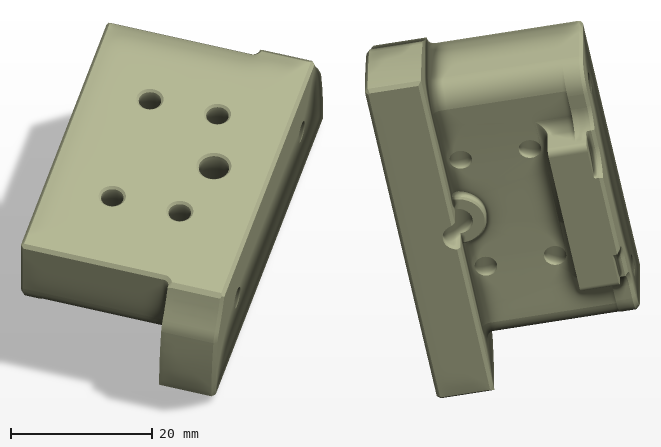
import cadquery as cq
import math

length = 30.4
overall_width = 55.05
overall_height = 17.85

chamfer = 0.5
blend_radius = 1.0

block_half_width = 22.0
corner_center_z = -9.15
front_corner_radius = 3.85
rear_corner_radius = 3.45
underside_slope = math.radians(5)

flange_start = 22.2
flange_height = 17.3
flange_top_half_width = 23.0
hollow_mid_half_width = 24.3
hollow_mid_z = -2.7
shoulder_z = -5.5
shoulder_radius = 4.0
flank_radius = 50.1
flank_straight = 0.7

front_plate_depth = 2.85
lip_depth = 6.8
lip_half_width = 12.55
lip_blend_radius = 1.5
front_sweep_radius = 3.25

recess_depth = 1.2
recess_radius = 3.0
recess_half_gap = 6.8
recess_top_z = -14.7
recess_floor_radius = 0.3

hole_chamfer = 0.35
screw_diameter = 3.2
screw_x = (9.95, 19.9)
screw_y = 9.45
center_hole_diameter = 4.3
center_hole_x = flange_start
cross_hole_diameter = 3.2
cross_hole_y = 16.2
cross_hole_z = -7.85

boss_diameter = 8.2
boss_bottom_z = -13.35
boss_chamfer = 0.3

margin = 0.05


def section(x):
    """Sketch plane across the part at the given X, with local axes Y and Z."""
    return cq.Workplane("YZ", origin=(x, 0, 0))


def mirrored(half):
    """Join a solid drawn on the +Y side with its mirror image."""
    return half.union(half.mirror("XZ"))


def make_front_plate():
    """Front slab whose outline sweeps down into the lip."""
    corner_y = block_half_width - front_corner_radius
    bottom_z = corner_center_z - front_corner_radius
    sweep_start_y = lip_half_width + front_sweep_radius
    sweep_end_z = bottom_z - front_sweep_radius
    sweep_offset = front_sweep_radius * math.sqrt(0.5)
    half = (
        section(0)
        .lineTo(block_half_width, 0)
        .lineTo(block_half_width, corner_center_z)
        .radiusArc((corner_y, bottom_z), front_corner_radius)
        .lineTo(sweep_start_y, bottom_z)
        .threePointArc(
            (sweep_start_y - sweep_offset, sweep_end_z + sweep_offset),
            (lip_half_width, sweep_end_z),
        )
        .lineTo(lip_half_width, blend_radius - overall_height)
        .radiusArc((lip_half_width - blend_radius, -overall_height), blend_radius)
        .lineTo(0, -overall_height)
        .close()
        .extrude(front_plate_depth)
    )
    return mirrored(half).faces("<X").edges().chamfer(chamfer)


def make_rear_block():
    """Block behind the front plate, with a shallow arched underside, reaching into the flange."""
    corner_y = block_half_width - rear_corner_radius
    arch_half_span = corner_y + rear_corner_radius * math.sin(underside_slope)
    arch_foot_z = corner_center_z - rear_corner_radius * math.cos(underside_slope)
    arch_rise = arch_half_span * math.tan(underside_slope / 2)
    return (
        section(front_plate_depth)
        .moveTo(-block_half_width, 0)
        .lineTo(block_half_width, 0)
        .lineTo(block_half_width, corner_center_z)
        .radiusArc((arch_half_span, arch_foot_z), rear_corner_radius)
        .threePointArc((0, arch_foot_z + arch_rise), (-arch_half_span, arch_foot_z))
        .radiusArc((-block_half_width, corner_center_z), rear_corner_radius)
        .close()
        .extrude(flange_start + blend_radius - front_plate_depth)
    )


def make_rear_lip():
    """Part of the lip behind the front plate, running up through the block to the top."""
    return (
        section(front_plate_depth)
        .center(0, -overall_height / 2)
        .rect(2 * lip_half_width, overall_height)
        .extrude(lip_depth - front_plate_depth)
        .edges("|X and <Z")
        .fillet(blend_radius)
    )


def make_rear():
    """Rear block and lip, with the inner corners where they meet rounded."""
    root_edges = cq.selectors.BoxSelector(
        (front_plate_depth - margin, -lip_half_width - margin, recess_top_z),
        (lip_depth + margin, lip_half_width + margin, corner_center_z - margin),
        boundingbox=True,
    )
    rear = make_rear_block().union(make_rear_lip())
    return rear.edges(root_edges).fillet(lip_blend_radius)


def make_flange():
    """Wide plate across the back with hollowed shoulders and bowed flanks."""
    flank_bottom_y = overall_width / 2
    flank_center_y = flank_bottom_y - flank_radius
    flank_center_z = flank_straight - flange_height
    shoulder_rise = shoulder_z - flank_center_z
    shoulder_y = flank_center_y + math.sqrt(flank_radius**2 - shoulder_rise**2)
    half = (
        section(flange_start)
        .lineTo(flange_top_half_width, 0)
        .threePointArc((hollow_mid_half_width, hollow_mid_z), (shoulder_y, shoulder_z))
        .radiusArc((flank_bottom_y, flank_center_z), flank_radius)
        .lineTo(flank_bottom_y, -flange_height)
        .lineTo(0, -flange_height)
        .close()
        .extrude(length - flange_start)
    )
    shoulder_edge = cq.selectors.BoxSelector(
        (flange_start, shoulder_y - margin, shoulder_z - margin),
        (length, shoulder_y + margin, shoulder_z + margin),
    )
    flange = mirrored(half.edges(shoulder_edge).fillet(shoulder_radius))
    flange = flange.faces(">X").edges("not <Z").chamfer(chamfer)
    return flange.faces("<Z").edges().chamfer(chamfer)


def blend_flange(body):
    """Round the inner corner where the block sides and underside meet the flange."""
    inner_corner = cq.selectors.BoxSelector(
        (flange_start - margin, -block_half_width - margin, -flange_height),
        (flange_start + margin, block_half_width + margin, margin),
        boundingbox=True,
    )
    return body.edges(inner_corner).fillet(blend_radius)


def recess_outline(growth):
    """Outline of the +Y recess on the front face, grown outward by the given amount."""
    center_y = recess_half_gap + recess_radius
    center_z = recess_top_z - recess_radius
    radius = recess_radius + growth
    outer_y = 2 * lip_half_width
    lower_z = -2 * overall_height
    return (
        section(0)
        .moveTo(center_y - radius, lower_z)
        .lineTo(center_y - radius, center_z)
        .radiusArc((center_y, center_z + radius), radius)
        .lineTo(outer_y, center_z + radius)
        .lineTo(outer_y, lower_z)
        .close()
    )


def make_recess():
    """Cutter for the +Y recess, with a rounded floor edge and a chamfered rim."""
    pocket = recess_outline(0).extrude(recess_depth)
    pocket = pocket.faces(">X").edges().fillet(recess_floor_radius)
    rim = recess_outline(chamfer).extrude(chamfer, taper=45)
    return pocket.union(rim)


def make_boss():
    """Round boss reaching up into the block, chamfered around its lower end."""
    return (
        cq.Workplane("XY", origin=(center_hole_x, 0, boss_bottom_z))
        .circle(boss_diameter / 2)
        .extrude(cross_hole_z - boss_bottom_z)
        .faces("<Z")
        .edges()
        .chamfer(boss_chamfer)
    )


def make_vertical_hole(x, y, diameter):
    """Cutter for a vertical through hole with a chamfer at the top face."""
    radius = diameter / 2
    return (
        cq.Workplane("XZ", origin=(x, y, 0))
        .lineTo(radius + hole_chamfer, 0)
        .lineTo(radius, -hole_chamfer)
        .lineTo(radius, -overall_height)
        .lineTo(0, -overall_height)
        .close()
        .revolve(360, (0, 0, 0), (0, 1, 0))
    )


def make_cross_hole(y):
    """Cutter for a hole running the full length of the part along X."""
    return section(0).center(y, cross_hole_z).circle(cross_hole_diameter / 2).extrude(length)


body = make_front_plate().union(make_rear()).union(make_flange())
body = blend_flange(body)

body = body.faces(">Z").edges("not |Y").chamfer(chamfer)
body = body.union(make_boss())

recess = make_recess()
body = body.cut(recess).cut(recess.mirror("XZ"))

for side in (-1, 1):
    for x in screw_x:
        body = body.cut(make_vertical_hole(x, side * screw_y, screw_diameter))
    body = body.cut(make_cross_hole(side * cross_hole_y))
body = body.cut(make_vertical_hole(center_hole_x, 0, center_hole_diameter))

result = body